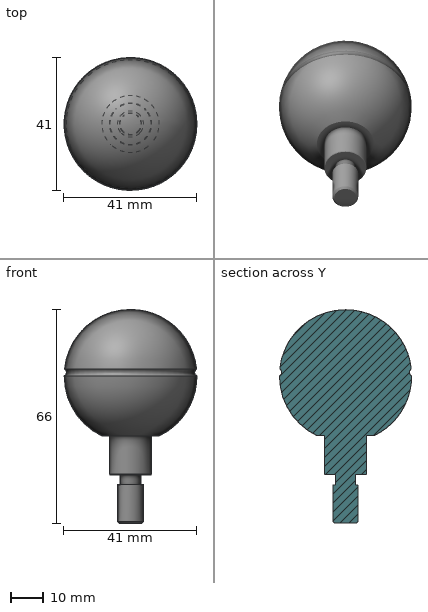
import cadquery as cq
import math

total_height = 66.0

ball_diameter = 41.0
ball_radius = ball_diameter / 2
ball_bottom = 27.0
ball_center = total_height - ball_radius
ball_flat_radius = math.sqrt(ball_radius**2 - (ball_center - ball_bottom) ** 2)

groove_width = 2.1
groove_floor_radius = 19.8

stem_diameter = 13.0
stem_bottom = 15.0
stem_chamfer = 0.2
neck_diameter = 6.5
pin_diameter = 8.0
pin_length = 12.0
pin_chamfer = 0.6


def make_ball():
    """Revolve the ball profile, including the groove, about the Z axis."""
    groove_top = ball_center + groove_width
    groove_edge_radius = math.sqrt(ball_radius**2 - groove_width**2)
    lower_angle = math.asin((ball_center - ball_bottom) / ball_radius) / 2
    upper_angle = (math.asin(groove_width / ball_radius) + math.pi / 2) / 2
    lower_middle = (
        ball_radius * math.cos(lower_angle),
        ball_center - ball_radius * math.sin(lower_angle),
    )
    upper_middle = (
        ball_radius * math.cos(upper_angle),
        ball_center + ball_radius * math.sin(upper_angle),
    )
    groove_middle = (groove_floor_radius, ball_center + groove_width / 2)
    return (
        cq.Workplane("XZ")
        .moveTo(0, ball_bottom)
        .lineTo(ball_flat_radius, ball_bottom)
        .threePointArc(lower_middle, (ball_radius, ball_center))
        .threePointArc(groove_middle, (groove_edge_radius, groove_top))
        .threePointArc(upper_middle, (0, total_height))
        .close()
        .revolve(360, (0, 0), (0, 1))
    )


def make_cylinder(diameter, bottom, top):
    """Upright cylinder on the Z axis between two heights."""
    return cq.Workplane("XY").workplane(offset=bottom).circle(diameter / 2).extrude(top - bottom)


stem = make_cylinder(stem_diameter, stem_bottom, ball_bottom).faces("<Z").chamfer(stem_chamfer)
neck = make_cylinder(neck_diameter, pin_length, stem_bottom)
pin = make_cylinder(pin_diameter, 0, pin_length).faces("<Z").chamfer(pin_chamfer)

result = make_ball().union(stem).union(neck).union(pin)